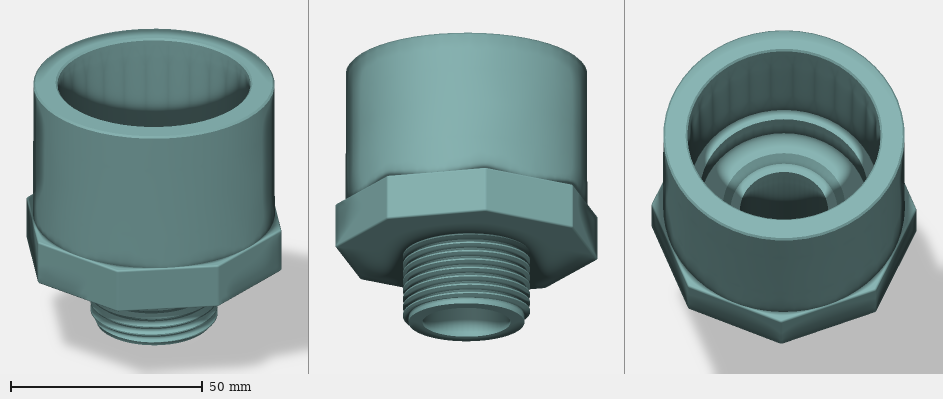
import cadquery as cq
import math

total_height = 69.3
flange_bottom = 19.0
flange_top = 31.0

flange_sides = 8
across_flats = 64.0
flange_corner_radius = 1.0
flange_edge_radius = 0.5

outer_base_diameter = 63.2
outer_rim_diameter = 63.05
inner_rim_diameter = 50.45
inner_floor_diameter = 49.6
rim_chamfer = 0.5
socket_floor = 38.4

recess_diameter = 44.0
recess_floor = flange_top
cone_top_diameter = 32.0
cone_bottom_diameter = 28.0
cone_depth = (cone_top_diameter - cone_bottom_diameter) / 2
bore_diameter = 23.0

neck_diameter = 30.3
thread_diameter = 33.25
thread_pitch = 6.9 / 3
thread_start = 1.6
crest_width = 0.35
flank_angle = 55 / 2
first_crest = 1.8
root_overlap = 0.2


def octagonal_flange():
    half_side_angle = 180 / flange_sides
    across_corners = across_flats / math.cos(math.radians(half_side_angle))
    prism = (
        cq.Workplane("XY", origin=(0, 0, flange_bottom))
        .transformed(rotate=(0, 0, half_side_angle))
        .polygon(flange_sides, across_corners)
        .extrude(flange_top - flange_bottom)
    )
    rounded = prism.edges("|Z").fillet(flange_corner_radius)
    return rounded.faces("<Z or >Z").edges().fillet(flange_edge_radius)


def socket_wall():
    base = outer_base_diameter / 2
    rim = outer_rim_diameter / 2
    root = flange_top - flange_edge_radius
    profile = (
        cq.Workplane("XZ")
        .moveTo(0, root)
        .lineTo(base, root)
        .lineTo(rim, total_height - rim_chamfer)
        .lineTo(rim - rim_chamfer, total_height)
        .lineTo(0, total_height)
        .close()
    )
    return profile.revolve(360, (0, 0), (0, 1))


def bore():
    rim = inner_rim_diameter / 2
    ledge = recess_floor - cone_depth
    profile = (
        cq.Workplane("XZ")
        .moveTo(0, 0)
        .lineTo(bore_diameter / 2, 0)
        .lineTo(bore_diameter / 2, ledge)
        .lineTo(cone_bottom_diameter / 2, ledge)
        .lineTo(cone_top_diameter / 2, recess_floor)
        .lineTo(recess_diameter / 2, recess_floor)
        .lineTo(recess_diameter / 2, socket_floor)
        .lineTo(inner_floor_diameter / 2, socket_floor)
        .lineTo(rim, total_height - rim_chamfer)
        .lineTo(rim + rim_chamfer, total_height)
        .lineTo(0, total_height)
        .close()
    )
    return profile.revolve(360, (0, 0), (0, 1))


def thread_ridge():
    root_radius = neck_diameter / 2
    crest_radius = thread_diameter / 2
    buried_radius = root_radius - root_overlap
    half_crest = crest_width / 2
    flank_rise = math.tan(math.radians(flank_angle))
    half_base = half_crest + (crest_radius - buried_radius) * flank_rise
    sweep_start = first_crest - thread_pitch
    turns = math.ceil((flange_bottom - sweep_start) / thread_pitch) + 1
    helix = cq.Wire.makeHelix(thread_pitch, turns * thread_pitch, root_radius)
    ridge = (
        cq.Workplane("XZ")
        .moveTo(buried_radius, -half_base)
        .lineTo(crest_radius, -half_crest)
        .lineTo(crest_radius, half_crest)
        .lineTo(buried_radius, half_base)
        .close()
        .sweep(cq.Workplane(obj=helix), isFrenet=True)
        .translate((0, 0, sweep_start))
    )
    thread_length = flange_bottom + root_overlap - thread_start
    thread_zone = (
        cq.Workplane("XY", origin=(0, 0, thread_start))
        .circle(thread_diameter)
        .extrude(thread_length)
    )
    return ridge.intersect(thread_zone)


def threaded_neck():
    neck = cq.Workplane("XY").circle(neck_diameter / 2).extrude(flange_top)
    return neck.union(thread_ridge())


result = octagonal_flange().union(socket_wall()).union(threaded_neck()).cut(bore())